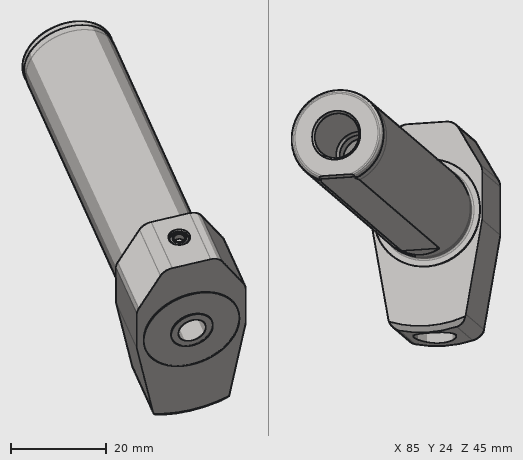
import cadquery as cq
import math

total_length = 85.0
boss_face_x = 84.75
head_end_x = 84.5
head_start_x = 70.3
head_mid_x = 76.3

shaft_radius = 20.0 / 2
neck_radius = 19.6 / 2
nose_face_radius = 9.0
nose_bevel = 0.1
nose_bevel_radius = 9.35
nose_crest_x = 1.0
nose_length = 1.7
nose_taper_end_x = 3.2
neck_taper_start_x = 68.0
neck_start_x = 68.85
neck_fillet = 0.4

flat_distance = 9.1
flat_end_x = 65.2
flat_chamfer = 0.5
flat_ramp = 1.7

collar_radius = 11.6
collar_thickness = 0.25
boss_radius = 10.5
hub_radius = 4.6

head_half_width = 12.0
head_top_z = 19.5
head_bottom_radius = 25.5
top_half_width = 5.95
shoulder_slope = math.radians(60)
taper_start_z = -2.2
taper_angle = math.radians(10)
corner_radius = 3.0
rim_bevel_x = 0.85
rim_bevel_radial = 1.2

bore_mouth_diameter = 10.5
thread_diameter = 9.6
thread_depth = 17.0
drill_diameter = 8.4
drill_depth = 20.4
through_diameter = 6.0
drill_half_angle = math.radians(59)

screw_mouth_diameter = 4.6
screw_diameter = 4.0
screw_tip_diameter = 3.0
screw_recess = 0.8
socket_diameter = 2.3
socket_depth = 1.7

bottom_hole_diameter = 9.0
bottom_hole_depth = 4.25


def disc_on_axis(start_x, end_x, radius):
    """Solid disc about the shaft axis."""
    return cq.Workplane("YZ", origin=(start_x, 0, 0)).circle(radius).extrude(end_x - start_x)


def make_shaft():
    """Shaft with rounded nose bead, neck groove and collar, revolved about X."""
    collar_x = head_start_x - collar_thickness
    return (
        cq.Workplane("XY")
        .lineTo(0, nose_face_radius)
        .lineTo(nose_bevel, nose_bevel_radius)
        .threePointArc((nose_crest_x, shaft_radius), (nose_length, neck_radius))
        .lineTo(nose_taper_end_x, shaft_radius)
        .lineTo(neck_taper_start_x, shaft_radius)
        .lineTo(neck_start_x, neck_radius)
        .lineTo(collar_x - neck_fillet, neck_radius)
        .radiusArc((collar_x, neck_radius + neck_fillet), -neck_fillet)
        .lineTo(collar_x, collar_radius)
        .lineTo(head_start_x, collar_radius)
        .lineTo(head_start_x, 0)
        .close()
        .revolve(axisStart=(0, 0, 0), axisEnd=(1, 0, 0))
    )


def make_flat_cutter():
    """Prism below the shaft: bevelled at the nose, ending in a 45 degree ramp."""
    return (
        cq.Workplane("XZ", origin=(0, shaft_radius, 0))
        .moveTo(0, -flat_distance + flat_chamfer)
        .lineTo(flat_chamfer, -flat_distance)
        .lineTo(flat_end_x, -flat_distance)
        .lineTo(flat_end_x + flat_ramp, -flat_distance - flat_ramp)
        .lineTo(0, -flat_distance - flat_ramp)
        .close()
        .extrude(2 * shaft_radius)
    )


def make_head():
    """Tapered plate with rounded corners and a bevelled curved bottom rim."""
    shoulder_z = head_top_z - (head_half_width - top_half_width) * math.tan(shoulder_slope)
    foot_z = -head_bottom_radius
    foot_half_width = head_half_width - (taper_start_z - foot_z) * math.tan(taper_angle)
    outline = [
        (top_half_width, head_top_z),
        (head_half_width, shoulder_z),
        (head_half_width, taper_start_z),
        (foot_half_width, foot_z),
    ]
    mirrored = [(-y, z) for y, z in reversed(outline)]
    plate = (
        cq.Workplane("YZ", origin=(head_start_x, 0, 0))
        .polyline(outline + mirrored)
        .close()
        .extrude(head_end_x - head_start_x)
    )
    disc = disc_on_axis(head_start_x, head_end_x, head_bottom_radius)
    corners = plate.intersect(disc).edges("|X")
    sharp_corners = corners.filter(lambda edge: abs(edge.Center().z - taper_start_z) > corner_radius)
    rounded = sharp_corners.fillet(corner_radius)
    bevelled_disc = disc.edges("%CIRCLE").chamfer(rim_bevel_x, rim_bevel_radial)
    return rounded.intersect(bevelled_disc)


def make_end_pads():
    """Shallow boss and hub stacked on the far face of the head."""
    boss = disc_on_axis(head_end_x, boss_face_x, boss_radius)
    hub = disc_on_axis(head_end_x, total_length, hub_radius)
    return boss.union(hub)


def make_bore():
    """Chamfered thread bore, drill cone and through hole, revolved about X."""
    mouth = (bore_mouth_diameter - thread_diameter) / 2
    thread_step = (thread_diameter - drill_diameter) / 2
    cone_length = (drill_diameter - through_diameter) / 2 / math.tan(drill_half_angle)
    return (
        cq.Workplane("XY")
        .lineTo(0, bore_mouth_diameter / 2)
        .lineTo(mouth, thread_diameter / 2)
        .lineTo(thread_depth, thread_diameter / 2)
        .lineTo(thread_depth + thread_step, drill_diameter / 2)
        .lineTo(drill_depth, drill_diameter / 2)
        .lineTo(drill_depth + cone_length, through_diameter / 2)
        .lineTo(total_length, through_diameter / 2)
        .lineTo(total_length, 0)
        .close()
        .revolve(axisStart=(0, 0, 0), axisEnd=(1, 0, 0))
    )


def make_screw_recess():
    """Space above a cone-ended set screw with a pointed round socket."""
    mouth = (screw_mouth_diameter - screw_diameter) / 2
    tip_depth = screw_recess - (screw_diameter - screw_tip_diameter) / 2
    socket_radius = socket_diameter / 2
    socket_tip = socket_depth + socket_radius / math.tan(drill_half_angle)
    return (
        cq.Workplane("XZ", origin=(head_mid_x, 0, head_top_z))
        .lineTo(screw_mouth_diameter / 2, 0)
        .lineTo(screw_diameter / 2, -mouth)
        .lineTo(screw_diameter / 2, -screw_recess)
        .lineTo(screw_tip_diameter / 2, -tip_depth)
        .lineTo(socket_radius, -tip_depth)
        .lineTo(socket_radius, -socket_depth)
        .lineTo(0, -socket_tip)
        .close()
        .revolve(axisStart=(0, 0, 0), axisEnd=(0, 1, 0))
    )


def make_bottom_hole():
    """Plain blind hole rising into the head from its curved bottom."""
    return (
        cq.Workplane("XY", origin=(head_mid_x, 0, -head_bottom_radius))
        .circle(bottom_hole_diameter / 2)
        .extrude(bottom_hole_depth)
    )


result = (
    make_shaft()
    .cut(make_flat_cutter())
    .union(make_head())
    .union(make_end_pads())
    .cut(make_bore())
    .cut(make_screw_recess())
    .cut(make_bottom_hole())
)